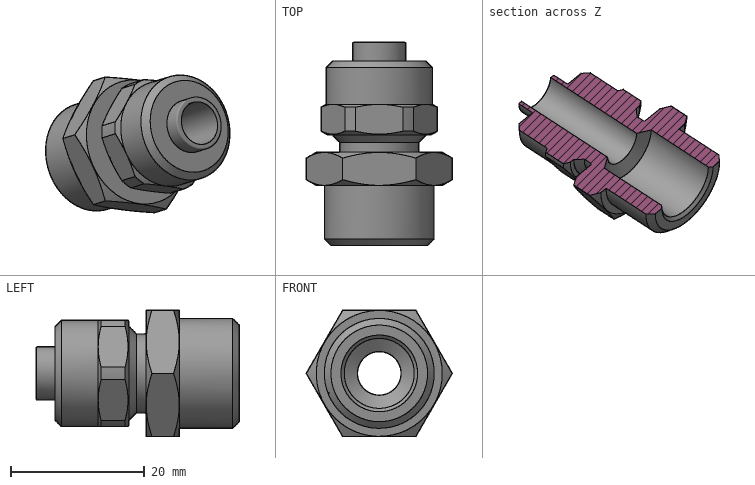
import cadquery as cq
import math


thread_dia = 16.5
thread_length = 9.0
thread_chamfer = 1.0

body_hex_flats = 19.0
body_hex_length = 5.0
body_hex_face_dia = 18.9

neck_dia = 11.9
neck_fillet = 0.2
cone_start = 15.45
cone_size = 1.1

nut_start = 16.6
nut_hex_flats = 16.0
nut_hex_corner_dia = 17.5
nut_hex_face_dia = 15.6
nut_hex_length = 4.7
collar_dia = 16.0
collar_end = 27.7
collar_chamfer = 1.0

stub_dia = 8.0
stub_fillet = 0.2
total_length = 30.5

through_dia = 6.5
socket_dia = 10.5
socket_chamfer = 0.5
socket_depth = 12.0
socket_cone_half_angle = 60.0

hex_chamfer_angle = 30.0
hex_sides = 6


def cylinder(diameter, start, end):
    """Solid cylinder on the Y axis between two Y positions."""
    profile = cq.Workplane("XZ", origin=(0, start, 0)).circle(diameter / 2)
    return profile.extrude(start - end)


def revolve(points):
    """Solid of revolution about Y from a closed (radius, Y) outline."""
    return cq.Workplane("XY").polyline(points).close().revolve(360, (0, 0), (0, 1))


def across_corners(flats):
    """Width of a regular hexagon across its corners."""
    return flats / math.cos(math.pi / hex_sides)


def chamfered_hexagon(flats, corner_dia, face_dia, start, end):
    """Hexagonal prism whose corners are turned round and coned at both ends."""
    base = cq.Workplane("XZ", origin=(0, start, 0))
    prism = base.polygon(hex_sides, across_corners(flats)).extrude(start - end)
    face_radius = face_dia / 2
    corner_radius = corner_dia / 2
    cone_length = (corner_radius - face_radius) * math.tan(math.radians(hex_chamfer_angle))
    envelope = revolve([
        (0, start),
        (face_radius, start),
        (corner_radius, start + cone_length),
        (corner_radius, end - cone_length),
        (face_radius, end),
        (0, end),
    ])
    return prism.intersect(envelope)


def threaded_end():
    return cylinder(thread_dia, 0, thread_length).faces("<Y").chamfer(thread_chamfer)


def body_hexagon():
    end = thread_length + body_hex_length
    return chamfered_hexagon(
        body_hex_flats, across_corners(body_hex_flats), body_hex_face_dia, thread_length, end
    )


def neck():
    start = thread_length + body_hex_length
    radius = neck_dia / 2
    fillet_middle = neck_fillet * (1 - math.sqrt(0.5))
    outline = (
        cq.Workplane("XY")
        .moveTo(0, start)
        .lineTo(radius + neck_fillet, start)
        .threePointArc((radius + fillet_middle, start + fillet_middle), (radius, start + neck_fillet))
        .lineTo(radius, cone_start)
        .lineTo(radius + cone_size, cone_start + cone_size)
        .lineTo(radius + cone_size, nut_start)
        .lineTo(0, nut_start)
        .close()
    )
    return outline.revolve(360, (0, 0), (0, 1))


def union_nut():
    hexagon = chamfered_hexagon(
        nut_hex_flats, nut_hex_corner_dia, nut_hex_face_dia, nut_start, nut_start + nut_hex_length
    )
    collar_start = nut_start + nut_hex_length / 2
    collar = cylinder(collar_dia, collar_start, collar_end).faces(">Y").chamfer(collar_chamfer)
    return hexagon.union(collar)


def hose_stub():
    return cylinder(stub_dia, collar_end, total_length).faces(">Y").edges().fillet(stub_fillet)


def bore():
    through_radius = through_dia / 2
    socket_radius = socket_dia / 2
    cone_length = (socket_radius - through_radius) / math.tan(math.radians(socket_cone_half_angle))
    return revolve([
        (0, 0),
        (socket_radius + socket_chamfer, 0),
        (socket_radius, socket_chamfer),
        (socket_radius, socket_depth),
        (through_radius, socket_depth + cone_length),
        (through_radius, total_length),
        (0, total_length),
    ])


result = (
    threaded_end()
    .union(body_hexagon())
    .union(neck())
    .union(union_nut())
    .union(hose_stub())
    .cut(bore())
)